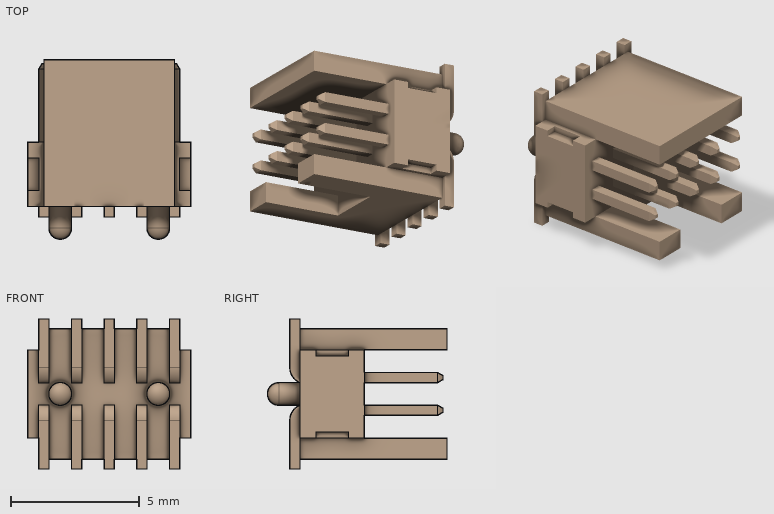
import cadquery as cq


body_width = 5.08
body_height = 5.08
body_depth = 5.715
core_height = 3.43
core_depth = 2.5

key_slot_width = 2.54

overall_width = 6.35
notch_length = 1.27
notch_width = 0.445
notch_depth = 0.245

pitch = 1.27
contacts_per_row = 5
pin_size = 0.406
pin_reach = 5.56
tip_length = 0.22
tip_size = 0.15
overall_height = 5.84
bend_height = 0.6

peg_diameter = 0.89
peg_length = 1.275
peg_spacing = 3.81

wall_thickness = (body_height - core_height) / 2
peg_radius = peg_diameter / 2
row_positions = [-pitch / 2, pitch / 2]
column_positions = [(i - (contacts_per_row - 1) / 2) * pitch for i in range(contacts_per_row)]


def make_housing():
    """Central core with its ears, between two long shroud walls."""
    housing = cq.Workplane("XY").box(overall_width, core_depth, core_height, centered=(True, False, True))
    for side in (-1, 1):
        wall_center = side * (core_height + wall_thickness) / 2
        wall = (
            cq.Workplane("XY")
            .box(body_width, body_depth, wall_thickness, centered=(True, False, True))
            .translate((0, 0, wall_center))
        )
        housing = housing.union(wall)
    return housing


def cut_key_slot(housing):
    """Slot the middle of the bottom wall from the mating end back to the core."""
    slot = (
        cq.Workplane("XY")
        .box(key_slot_width, body_depth - core_depth, wall_thickness, centered=(True, False, True))
        .translate((0, core_depth, -(core_height + wall_thickness) / 2))
    )
    return housing.cut(slot)


def cut_notches(housing):
    """Notch the top and bottom outer edge of both ears."""
    for x_side in (-1, 1):
        for z_side in (-1, 1):
            notch = cq.Workplane("XY").box(notch_width, notch_length, notch_depth).translate((
                x_side * (overall_width - notch_width) / 2,
                core_depth / 2,
                z_side * (core_height - notch_depth) / 2,
            ))
            housing = housing.cut(notch)
    return housing


def make_pin(x, z):
    """Square mating pin with a tapered tip, rooted in the core."""
    shank_end = pin_reach - tip_length
    shank = (
        cq.Workplane("XY")
        .box(pin_size, shank_end, pin_size, centered=(True, False, True))
        .translate((x, 0, z))
    )
    tip_plane = cq.Plane(origin=(x, shank_end, z), xDir=(1, 0, 0), normal=(0, 1, 0))
    tip = (
        cq.Workplane(tip_plane)
        .rect(pin_size, pin_size)
        .workplane(offset=tip_length)
        .rect(tip_size, tip_size)
        .loft(ruled=True)
    )
    return shank.union(tip)


def make_tail(x, side):
    """Solder tail along the mounting face, with a rounded bend at its inner end."""
    inner_z = pitch / 2 - pin_size / 2
    bend_z = inner_z + bend_height
    bend_radius = (pin_size**2 + bend_height**2) / (2 * pin_size)
    arc_center_y = bend_radius - pin_size
    mid_z = inner_z + bend_height / 2
    mid_y = arc_center_y - (bend_radius**2 - (bend_z - mid_z) ** 2) ** 0.5
    tail = (
        cq.Workplane("YZ")
        .moveTo(0, side * inner_z)
        .threePointArc((mid_y, side * mid_z), (-pin_size, side * bend_z))
        .lineTo(-pin_size, side * overall_height / 2)
        .lineTo(0, side * overall_height / 2)
        .close()
        .extrude(pin_size / 2, both=True)
    )
    return tail.translate((x, 0, 0))


def make_peg(x):
    """Round locating peg with a hemispherical end."""
    shoulder_y = peg_radius - peg_length
    shank = cq.Workplane("XZ").circle(peg_radius).extrude(-shoulder_y)
    dome = cq.Workplane("XY").sphere(peg_radius).translate((0, shoulder_y, 0))
    return shank.union(dome).translate((x, 0, 0))


result = make_housing()
result = cut_key_slot(result)
result = cut_notches(result)

for column_x in column_positions:
    for row_z in row_positions:
        result = result.union(make_pin(column_x, row_z))
    for tail_side in (-1, 1):
        result = result.union(make_tail(column_x, tail_side))

for peg_side in (-1, 1):
    result = result.union(make_peg(peg_side * peg_spacing / 2))